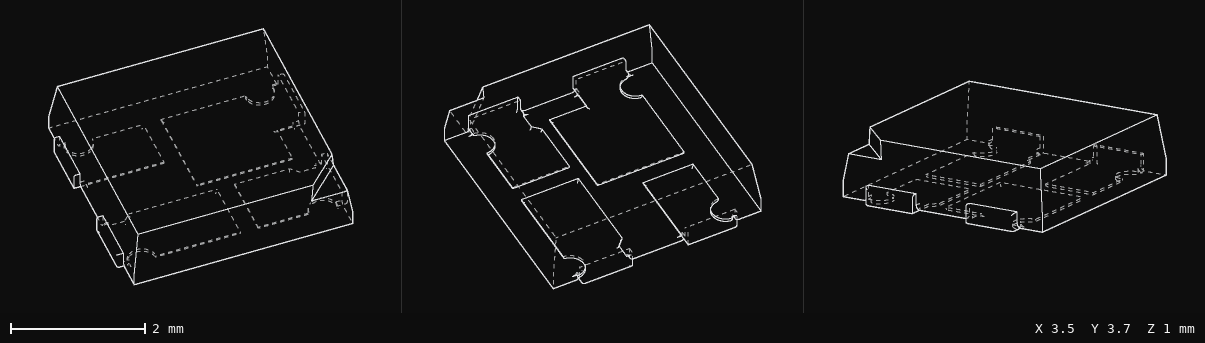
import cadquery as cq

body_side = 3.5
total_length = 3.7
total_height = 1.0

body_bottom = 0.05
base_top = 0.3
top_side = 3.3
marker_leg = 0.577
marker_inset = 0.06

lead_inner_x = 0.465
lead_outer_x = 1.305
lead_edge_radius = 0.04
lead_depth = 0.445
pad_thickness = 0.1
notch_radius = 0.225
notch_y = 1.45
recess_radius = 0.075
recess_depth = 0.092

left_pad_inner_x = 0.155
right_pad_inner_x = 0.348
long_pad_overrun = 0.122
short_pad_end = 0.407

body_half = body_side / 2
lead_end = total_length / 2
pad_root_y = lead_end - lead_depth
lead_width = lead_outer_x - lead_inner_x
lead_center_x = (lead_inner_x + lead_outer_x) / 2
taper_height = total_height - base_top
taper_inset = (body_side - top_side) / 2


def make_body():
    base_height = base_top - body_bottom
    base = cq.Workplane("XY").workplane(offset=body_bottom).rect(body_side, body_side).extrude(base_height)
    top = (
        cq.Workplane("XY")
        .workplane(offset=base_top)
        .rect(body_side, body_side)
        .workplane(offset=taper_height)
        .rect(top_side, top_side)
        .loft(combine=True)
    )
    return base.union(top)


def make_corner_marker():
    """Triangular cut whose flat floor meets the tapered sides at the marker inset."""
    floor_z = base_top + taper_height * marker_inset / taper_inset
    floor_corner = body_half - marker_inset
    diagonal_start = floor_corner - marker_leg
    reach = floor_corner + marker_inset
    diagonal_end = diagonal_start - marker_inset
    return (
        cq.Workplane("XY")
        .workplane(offset=floor_z)
        .polyline([(diagonal_end, reach), (reach, reach), (reach, diagonal_end)])
        .close()
        .extrude(taper_height)
    )


def make_recess(side_x, side_y):
    """Mouth in the body around a lead, with its lower edges rounded outward."""
    half = lead_width / 2
    flare = half + recess_radius
    shoulder_z = body_bottom + recess_radius
    bulge = recess_radius * (1 - 0.5 ** 0.5)
    recess = (
        cq.Workplane("XZ")
        .moveTo(-flare, body_bottom)
        .threePointArc((-half - bulge, body_bottom + bulge), (-half, shoulder_z))
        .lineTo(half, shoulder_z)
        .threePointArc((half + bulge, body_bottom + bulge), (flare, body_bottom))
        .close()
        .extrude(recess_depth)
    )
    start_y = body_half if side_y > 0 else recess_depth - body_half
    return recess.translate((side_x * lead_center_x, start_y, 0))


def make_lead(side_x, side_y, pad_outline):
    """Upright lead end joined to its flat pad, with rounded exposed edges."""
    upright = (
        cq.Workplane("XY")
        .center(side_x * lead_center_x, side_y * (lead_end - lead_depth / 2))
        .rect(lead_width, lead_depth)
        .extrude(base_top)
    )
    end_face = ">Y" if side_y > 0 else "<Y"
    outer_edge = ">X" if side_x > 0 else "<X"
    pad = cq.Workplane("XY").polyline(pad_outline).close().extrude(pad_thickness)
    notch = (
        cq.Workplane("XY")
        .center(side_x * lead_outer_x, side_y * notch_y)
        .circle(notch_radius)
        .extrude(body_bottom)
    )
    lead = upright.union(pad)
    end_edges = lead.faces(end_face).edges("|X").add(lead.faces(end_face).edges(outer_edge))
    bottom_edges = lead.faces("<Z").edges()
    return end_edges.add(bottom_edges).fillet(lead_edge_radius).cut(notch)


def right_pad(side_y, end_y):
    """Right-hand pad, widening diagonally from its lead toward the middle."""
    diagonal_y = pad_root_y - (lead_inner_x - right_pad_inner_x)
    return [
        (lead_outer_x, side_y * pad_root_y),
        (lead_inner_x, side_y * pad_root_y),
        (right_pad_inner_x, side_y * diagonal_y),
        (right_pad_inner_x, end_y),
        (lead_outer_x, end_y),
    ]


def left_pad(start_y, end_y, inner_x):
    return [
        (-lead_outer_x, start_y),
        (inner_x, start_y),
        (inner_x, end_y),
        (-lead_outer_x, end_y),
    ]


leads = [
    (-1, 1, left_pad(pad_root_y, -long_pad_overrun, left_pad_inner_x)),
    (-1, -1, left_pad(-pad_root_y, -short_pad_end, -lead_inner_x)),
    (1, 1, right_pad(1, short_pad_end)),
    (1, -1, right_pad(-1, long_pad_overrun)),
]

result = make_body().cut(make_corner_marker())
for side_x, side_y, pad_outline in leads:
    result = result.cut(make_recess(side_x, side_y))
    result = result.union(make_lead(side_x, side_y, pad_outline))